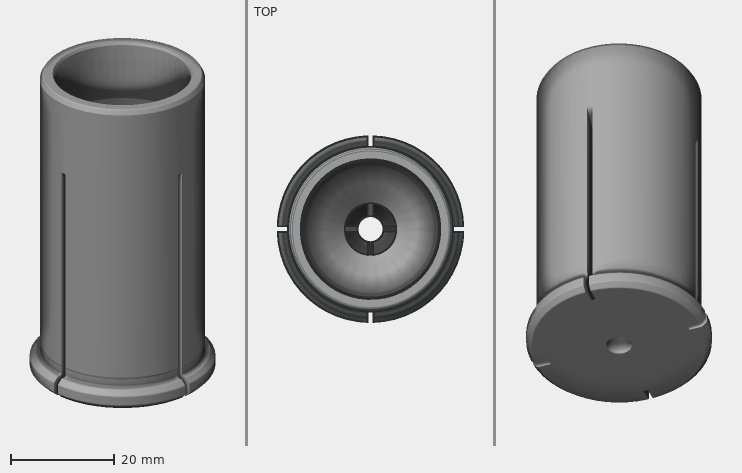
import cadquery as cq
import math

LENGTH = 64.0
BODY_RADIUS = 32.0 / 2

LEAD_IN_TAPER = math.tan(math.radians(30))
OUTER_LEAD_IN_HEIGHT = 1.0
OUTER_LEAD_IN_FILLET = 0.4
INNER_LEAD_IN_HEIGHT = 0.5

FLANGE_RADIUS = 36.0 / 2
FLANGE_HEIGHT = 4.0
FLANGE_CHAMFER = 1.0
FLANGE_FILLET = 0.4

GROOVE_DEPTH = 0.1
GROOVE_TOP = 6.1
GROOVE_RAMP_HEIGHT = 0.4
GROOVE_ROOT_FILLET = 0.4

POCKET_RADIUS = 26.5 / 2
POCKET_DEPTH = 12.0
BORE_RADIUS = 10.0 / 2
BORE_FLOOR = 14.0
BORE_FLOOR_SLOPE = math.tan(math.radians(60))
OUTLET_RADIUS = 5.0 / 2

SLOT_COUNT = 4
SLOT_WIDTH = 1.1
SLOT_TOP = 48.0
SLOT_FLOOR_AT_OUTLET = 8.3
SLOT_FLOOR_SLOPE = math.tan(math.radians(35))

RING_TOLERANCE = 0.01


def revolve_about_z(profile):
    """Revolve a closed (radius, height) profile about the Z axis."""
    return profile.close().revolve(360, (0, 0), (0, 1))


def fillet_rings(solid, rings, radius):
    """Round the circular edges that have the given (radius, height) values."""
    for ring_radius, height in rings:
        ring = solid.edges("%CIRCLE").filter(
            lambda edge: math.isclose(edge.radius(), ring_radius, abs_tol=RING_TOLERANCE)
            and math.isclose(edge.Center().z, height, abs_tol=RING_TOLERANCE)
        )
        solid = ring.fillet(radius)
    return solid


def make_outer_body():
    """Revolve the outside of the sleeve with its flange, groove and lead-in."""
    groove_radius = BODY_RADIUS - GROOVE_DEPTH
    flange_face_radius = FLANGE_RADIUS - FLANGE_CHAMFER
    flange_chamfer_base = FLANGE_HEIGHT - FLANGE_CHAMFER
    rim_radius = BODY_RADIUS - OUTER_LEAD_IN_HEIGHT * LEAD_IN_TAPER
    profile = cq.Workplane("XZ").polyline([
        (0, 0),
        (flange_face_radius, 0),
        (FLANGE_RADIUS, FLANGE_CHAMFER),
        (FLANGE_RADIUS, flange_chamfer_base),
        (flange_face_radius, FLANGE_HEIGHT),
        (groove_radius, FLANGE_HEIGHT),
        (groove_radius, GROOVE_TOP - GROOVE_RAMP_HEIGHT),
        (BODY_RADIUS, GROOVE_TOP),
        (BODY_RADIUS, LENGTH - OUTER_LEAD_IN_HEIGHT),
        (rim_radius, LENGTH),
        (0, LENGTH),
    ])
    body = revolve_about_z(profile)

    flange_rings = [
        (flange_face_radius, 0),
        (FLANGE_RADIUS, FLANGE_CHAMFER),
        (FLANGE_RADIUS, flange_chamfer_base),
        (flange_face_radius, FLANGE_HEIGHT),
    ]
    body = fillet_rings(body, flange_rings, FLANGE_FILLET)
    body = fillet_rings(body, [(groove_radius, FLANGE_HEIGHT)], GROOVE_ROOT_FILLET)
    return fillet_rings(body, [(rim_radius, LENGTH)], OUTER_LEAD_IN_FILLET)


def make_bore():
    """Revolve the pocket, its 45 degree cone, the bore and the outlet hole."""
    cone_top = LENGTH - POCKET_DEPTH
    cone_bottom = cone_top - (POCKET_RADIUS - BORE_RADIUS)
    outlet_top = BORE_FLOOR - (BORE_RADIUS - OUTLET_RADIUS) * BORE_FLOOR_SLOPE
    mouth_radius = POCKET_RADIUS + INNER_LEAD_IN_HEIGHT * LEAD_IN_TAPER
    profile = cq.Workplane("XZ").polyline([
        (0, 0),
        (OUTLET_RADIUS, 0),
        (OUTLET_RADIUS, outlet_top),
        (BORE_RADIUS, BORE_FLOOR),
        (BORE_RADIUS, cone_bottom),
        (POCKET_RADIUS, cone_top),
        (POCKET_RADIUS, LENGTH - INNER_LEAD_IN_HEIGHT),
        (mouth_radius, LENGTH),
        (0, LENGTH),
    ])
    return revolve_about_z(profile)


def make_slot():
    """Make one radial slot along +X, starting on the axis with sloping ends."""
    slot_top_at_axis = SLOT_TOP - BODY_RADIUS
    slot_floor_at_axis = SLOT_FLOOR_AT_OUTLET + OUTLET_RADIUS * SLOT_FLOOR_SLOPE
    floor_end_radius = slot_floor_at_axis / SLOT_FLOOR_SLOPE
    profile = cq.Workplane("XZ").polyline([
        (0, slot_floor_at_axis),
        (floor_end_radius, 0),
        (FLANGE_RADIUS, 0),
        (FLANGE_RADIUS, SLOT_TOP),
        (BODY_RADIUS, SLOT_TOP),
        (0, slot_top_at_axis),
    ])
    return profile.close().extrude(SLOT_WIDTH / 2, both=True)


result = make_outer_body().cut(make_bore())
for index in range(SLOT_COUNT):
    angle = index * 360 / SLOT_COUNT
    result = result.cut(make_slot().rotate((0, 0, 0), (0, 0, 1), angle))